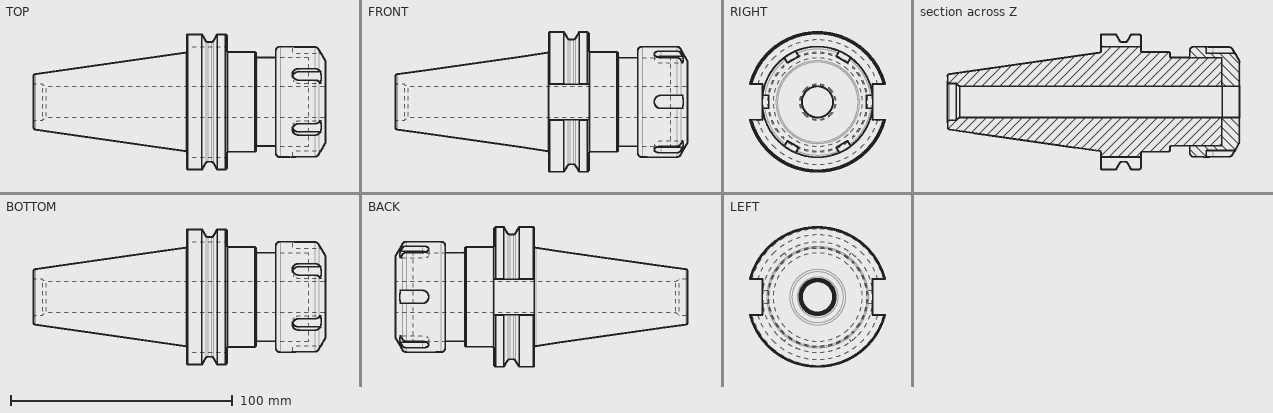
import cadquery as cq
import math


shank_end_dia = 24.9
shank_gauge_dia = 44.5
shank_end_fillet = 1.0
shank_root_fillet = 0.7

flange_dia = 63.2
flange_start_x = 69.2
flange_end_x = 87.4
flange_rear_chamfer = 0.4
flange_front_chamfer = 0.8

groove_center_x = 79.5
groove_mouth_width = 6.9
groove_floor_dia = 56.4
groove_wall_slope = 60.0
groove_floor_fillet = 1.0

drive_slot_width = 16.0
drive_slot_floor_dist = 24.9
drive_slot_chamfer = 0.3

collar_dia = 45.2
collar_end_x = 100.4
collar_chamfer = 0.5
step_fillet = 0.4
neck_dia = 40.0
neck_end_x = 123.9

bore_dia = 14.0
mouth_dia = 16.5
mouth_depth = 4.1
mouth_fillet = 0.9
countersink_dia = 15.7
countersink_slope = 30.0

nut_dia = 50.0
nut_start_x = 109.2
nut_end_x = 131.8
nut_face_dia = 36.2
nut_cone_slope = 60.0
nut_fillet = 2.0
nut_face_fillet = 1.3

wrench_slot_count = 6
wrench_slot_width = 5.9
wrench_slot_start_x = 116.7
wrench_slot_floor_dist = 22.0


def revolve_about_x(points):
    """Solid of revolution from a closed (x, radius) outline."""
    return cq.Workplane("XY").polyline(points).close().revolve(360, (0, 0, 0), (1, 0, 0))


def rod(dia, start_x, end_x):
    """Cylinder on the tool axis."""
    return cq.Workplane("YZ", origin=(start_x, 0, 0)).circle(dia / 2).extrude(end_x - start_x)


def make_shank():
    """Steep taper, rounded at its small end and filleted into the flange at its large end."""
    gauge_radius = shank_gauge_dia / 2
    taper_end_x = flange_start_x - shank_root_fillet
    return (
        cq.Workplane("XY")
        .moveTo(0, 0)
        .lineTo(0, shank_end_dia / 2)
        .lineTo(taper_end_x, gauge_radius)
        .radiusArc((flange_start_x, gauge_radius + shank_root_fillet), -shank_root_fillet)
        .lineTo(flange_start_x, 0)
        .close()
        .revolve(360, (0, 0, 0), (1, 0, 0))
        .faces("<X")
        .edges()
        .fillet(shank_end_fillet)
    )


def make_flange_disc():
    """Chamfered flange disc with its V-shaped gripper groove."""
    radius = flange_dia / 2
    floor_radius = groove_floor_dia / 2
    mouth_half = groove_mouth_width / 2
    floor_half = mouth_half - (radius - floor_radius) / math.tan(math.radians(groove_wall_slope))
    disc = revolve_about_x([
        (flange_start_x, 0),
        (flange_start_x, radius - flange_rear_chamfer),
        (flange_start_x + flange_rear_chamfer, radius),
        (groove_center_x - mouth_half, radius),
        (groove_center_x - floor_half, floor_radius),
        (groove_center_x + floor_half, floor_radius),
        (groove_center_x + mouth_half, radius),
        (flange_end_x - flange_front_chamfer, radius),
        (flange_end_x, radius - flange_front_chamfer),
        (flange_end_x, 0),
    ])
    floor_edges = cq.selectors.RadiusNthSelector(0)
    return disc.edges("%CIRCLE").edges(floor_edges).fillet(groove_floor_fillet)


def make_drive_slot():
    """Cutter for the -Y drive slot, with chamfers on its rear and outer edges."""
    half_width = drive_slot_width / 2
    flange_radius = flange_dia / 2
    corner_dist = math.sqrt(flange_radius**2 - half_width**2)
    chamfer_start_dist = corner_dist - drive_slot_chamfer
    flare = flange_radius - chamfer_start_dist
    slot_with_rear_chamfer = (
        cq.Workplane("XZ", origin=(0, -drive_slot_floor_dist, 0))
        .moveTo(flange_start_x, half_width + drive_slot_chamfer)
        .lineTo(flange_start_x + drive_slot_chamfer, half_width)
        .lineTo(flange_end_x, half_width)
        .lineTo(flange_end_x, -half_width)
        .lineTo(flange_start_x + drive_slot_chamfer, -half_width)
        .lineTo(flange_start_x, -half_width - drive_slot_chamfer)
        .close()
        .extrude(flange_radius - drive_slot_floor_dist)
    )
    outer_chamfer = (
        cq.Workplane("YZ", origin=(flange_start_x, 0, 0))
        .moveTo(-chamfer_start_dist, half_width)
        .lineTo(-flange_radius, half_width + flare)
        .lineTo(-flange_radius, -half_width - flare)
        .lineTo(-chamfer_start_dist, -half_width)
        .close()
        .extrude(flange_end_x - flange_start_x)
    )
    return slot_with_rear_chamfer.union(outer_chamfer)


def make_flange():
    """Flange disc with two opposite drive slots."""
    slot = make_drive_slot()
    opposite_slot = slot.mirror("XZ")
    return make_flange_disc().cut(slot).cut(opposite_slot)


def make_collar_and_neck():
    """Collar and neck in front of the flange, each with a small fillet at its root."""
    collar_radius = collar_dia / 2
    neck_radius = neck_dia / 2
    return (
        cq.Workplane("XY")
        .moveTo(flange_end_x, 0)
        .lineTo(flange_end_x, collar_radius + step_fillet)
        .radiusArc((flange_end_x + step_fillet, collar_radius), -step_fillet)
        .lineTo(collar_end_x - collar_chamfer, collar_radius)
        .lineTo(collar_end_x, collar_radius - collar_chamfer)
        .lineTo(collar_end_x, neck_radius + step_fillet)
        .radiusArc((collar_end_x + step_fillet, neck_radius), -step_fillet)
        .lineTo(neck_end_x, neck_radius)
        .lineTo(neck_end_x, 0)
        .close()
        .revolve(360, (0, 0, 0), (1, 0, 0))
    )


def make_holder_bore():
    """Cutter for the bore: rounded mouth, small ledge, countersink, then a straight hole."""
    mouth_radius = mouth_dia / 2
    bore_radius = bore_dia / 2
    countersink_radius = countersink_dia / 2
    countersink_depth = countersink_radius - bore_radius
    countersink_length = countersink_depth / math.tan(math.radians(countersink_slope))
    return (
        cq.Workplane("XY")
        .moveTo(0, 0)
        .lineTo(0, mouth_radius + mouth_fillet)
        .radiusArc((mouth_fillet, mouth_radius), -mouth_fillet)
        .lineTo(mouth_depth, mouth_radius)
        .lineTo(mouth_depth, countersink_radius)
        .lineTo(mouth_depth + countersink_length, bore_radius)
        .lineTo(neck_end_x, bore_radius)
        .lineTo(neck_end_x, 0)
        .close()
        .revolve(360, (0, 0, 0), (1, 0, 0))
    )


def make_holder():
    """Shank, flange, collar and neck in one piece, bored through."""
    body = make_shank().union(make_flange()).union(make_collar_and_neck())
    return body.cut(make_holder_bore())


def make_wrench_slot():
    """Cutter for the slot on the -Y side: round at the rear, open at the front."""
    half_width = wrench_slot_width / 2
    return (
        cq.Workplane("XZ", origin=(0, -wrench_slot_floor_dist, 0))
        .moveTo(nut_end_x, half_width)
        .lineTo(wrench_slot_start_x + half_width, half_width)
        .threePointArc((wrench_slot_start_x, 0), (wrench_slot_start_x + half_width, -half_width))
        .lineTo(nut_end_x, -half_width)
        .close()
        .extrude(nut_dia / 2)
    )


def make_nut():
    """Nut with a conical front, wrench slots and a socket for the neck."""
    nut_radius = nut_dia / 2
    face_turn = math.radians(90 - nut_cone_slope)
    face_radius = nut_face_dia / 2 + nut_face_fillet * math.tan(face_turn / 2)
    cone_length = (nut_radius - face_radius) / math.tan(math.radians(nut_cone_slope))
    nut = revolve_about_x([
        (nut_start_x, 0),
        (nut_start_x, nut_radius),
        (nut_end_x - cone_length, nut_radius),
        (nut_end_x, face_radius),
        (nut_end_x, 0),
    ])
    nut = nut.faces(">X").edges().fillet(nut_face_fillet)
    outer_edges = cq.selectors.RadiusNthSelector(-1)
    nut = nut.edges("%CIRCLE").edges(outer_edges).fillet(nut_fillet)
    for index in range(wrench_slot_count):
        angle = index * 360 / wrench_slot_count
        nut = nut.cut(make_wrench_slot().rotate((0, 0, 0), (1, 0, 0), angle))
    neck_socket = rod(neck_dia, nut_start_x, neck_end_x)
    return nut.cut(neck_socket).cut(rod(bore_dia, nut_start_x, nut_end_x))


holder = make_holder()
nut = make_nut()

result = cq.Compound.makeCompound([holder.solids().val(), nut.solids().val()])